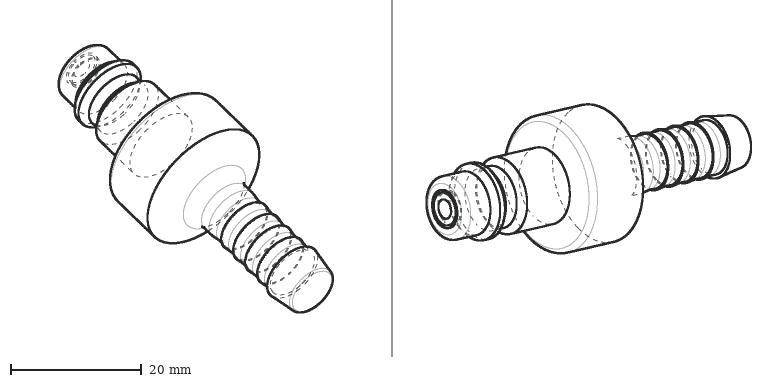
import cadquery as cq
import math

length = 58.0

nose_radius = 10.0 / 2
nose_round = 1.0
bead_start = 4.95
bead_crest_start = 6.05
bead_crest_end = 7.0
spigot_radius = 12.0 / 2

groove_radius = 9.75 / 2
groove_flank_length = spigot_radius - groove_radius
groove_flank_sag = 0.1
groove_end = 11.4

collar_radius = 21.5 / 2
collar_start = 19.95
collar_face_angle = math.radians(8)
collar_round = 1.0
collar_end = 30.6

shoulder_angle = math.radians(60)
blend_radius = 3.0
blend_end = 36.0
neck_radius = 9.0 / 2

barb_root_radius = 8.5 / 2
first_barb = 37.95
barb_pitch = 3.0
barb_taper_length = 1.55
barb_count = 5
end_barb_radius = 9.75 / 2
end_barb_tip_radius = 8.25 / 2
tip_round = 0.35

valve_mouth_radius = 6.0 / 2
valve_throat_radius = 5.6 / 2
valve_pin_radius = 5.15 / 2
valve_gap_depth = 1.0
pin_dimple_radius = 3.0 / 2
pin_dimple_depth = 0.85


def arc_point(center_x, center_r, radius, angle):
    return (center_x + radius * math.cos(angle), center_r + radius * math.sin(angle))


def body():
    groove_floor_start = bead_crest_end + groove_flank_length
    groove_floor_end = groove_end - groove_flank_length
    collar_rim_x = collar_start + (collar_radius - spigot_radius) * math.tan(collar_face_angle)
    face_normal = math.pi - collar_face_angle
    round_center = (
        collar_rim_x + collar_round * math.tan((math.pi / 2 - collar_face_angle) / 2),
        collar_radius - collar_round,
    )

    blend_center_r = neck_radius + blend_radius
    blend_start = arc_point(blend_end, blend_center_r, blend_radius, -math.pi / 2 - shoulder_angle)
    blend_middle = arc_point(blend_end, blend_center_r, blend_radius, -math.pi / 2 - shoulder_angle / 2)

    profile = (
        cq.Workplane("XY")
        .moveTo(0, 0)
        .lineTo(0, nose_radius)
        .lineTo(bead_start, nose_radius)
        .lineTo(bead_crest_start, spigot_radius)
        .lineTo(bead_crest_end, spigot_radius)
        .sagittaArc((groove_floor_start, groove_radius), -groove_flank_sag)
        .lineTo(groove_floor_end, groove_radius)
        .sagittaArc((groove_end, spigot_radius), -groove_flank_sag)
        .lineTo(collar_start, spigot_radius)
        .lineTo(*arc_point(*round_center, collar_round, face_normal))
        .threePointArc(
            arc_point(*round_center, collar_round, (face_normal + math.pi / 2) / 2),
            (round_center[0], collar_radius),
        )
        .lineTo(collar_end, collar_radius)
        .lineTo(*blend_start)
        .threePointArc(blend_middle, (blend_end, neck_radius))
        .lineTo(first_barb, neck_radius)
    )
    for index in range(barb_count):
        crest = first_barb + index * barb_pitch
        next_crest = crest + barb_pitch
        is_last = index == barb_count - 1
        next_radius = end_barb_radius if is_last else neck_radius
        profile = (
            profile.lineTo(crest + barb_taper_length, barb_root_radius)
            .lineTo(next_crest, barb_root_radius)
            .lineTo(next_crest, next_radius)
        )
    profile = profile.lineTo(length, end_barb_tip_radius).lineTo(length, 0).close()
    solid = profile.revolve(360, (0, 0, 0), (1, 0, 0))

    solid = solid.faces("<X").edges().fillet(nose_round)
    return solid.faces(">X").edges().fillet(tip_round)


def valve_gap():
    """Ring-shaped gap around the valve pin, narrowing inward."""
    return (
        cq.Workplane("XY")
        .moveTo(0, valve_pin_radius)
        .lineTo(0, valve_mouth_radius)
        .lineTo(valve_gap_depth, valve_throat_radius)
        .lineTo(valve_gap_depth, valve_pin_radius)
        .close()
        .revolve(360, (0, 0, 0), (1, 0, 0))
    )


def pin_dimple():
    """Conical dimple in the valve pin."""
    return (
        cq.Workplane("XY")
        .polyline([(0, 0), (0, pin_dimple_radius), (pin_dimple_depth, 0)])
        .close()
        .revolve(360, (0, 0, 0), (1, 0, 0))
    )


result = body().cut(valve_gap()).cut(pin_dimple())